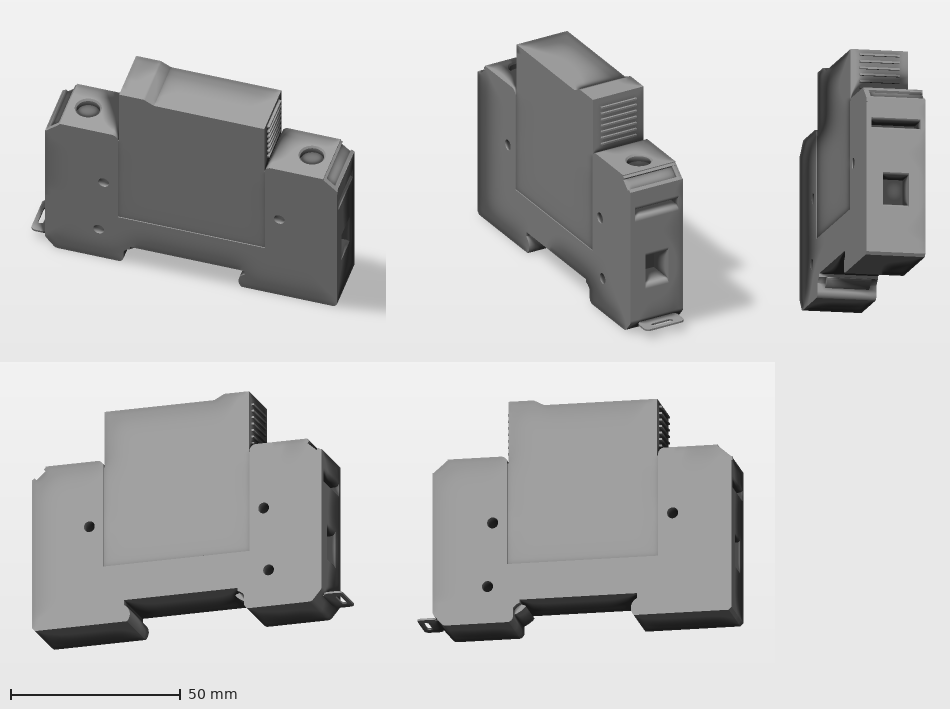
import cadquery as cq
import math


overall_length = 95.3
plan_length = 90.05
far_wall_setback = 0.3
base_length = plan_length - far_wall_setback
base_width = 17.8
shoulder_height = 50.9
front_y = -base_width / 2
bevel_run = 4.5
bevel_rise = 3.8
bevel_foot_z = shoulder_height - bevel_rise
bevel_ledge = 0.4
bevel_crest_step = 0.3
shoulder_radius = 1.9
foot_chamfer_run = 3.1
foot_chamfer_rise = 3.7
far_foot_chamfer = 0.9
foot_edge_radius = 1.7

channel_start = 26.1
channel_end = 61.4
channel_depth = 6.7

module_inset = 0.3
slot_start = 22.4
slot_end = plan_length - slot_start
slot_floor_z = 17.8
seat_top_z = 48.7
module_start = slot_start + module_inset
module_end = slot_end - module_inset
module_width = base_width - 2 * module_inset
module_height = 67.7
module_low_top = 66.0
ramp_start = 30.3
ramp_end = 33.4
ramp_edge_radius = 1.1

rib_count = 7
rib_pitch = 2.0
rib_thickness = 0.6
rib_width = 12.0
lowest_rib_z = 52.4
near_rib_reach = 0.7
far_rib_reach = 0.9

recess_margin = 0.9
recess_length = 3.7
panel_skin = 0.3
panel_depth = 0.1
groove_web = 1.5
groove_depth = 0.9

lip_height = 1.2
lip_thickness = 0.4
lip_root = 1.0

well_x = 10.6
well_radius = 3.5
well_mouth_radius = 4.0
well_mouth_depth = 0.6
well_depth = 2.2

opening_radius = 1.4
opening_depth = 8.6
vent_width = 14.8
vent_bottom, vent_top = 37.1, 42.0
wire_width = 7.8
wire_bottom, wire_top = 13.9, 25.7

cross_hole_diameter = 3.3
upper_hole_inset = 18.0
upper_hole_z = 30.7
lower_hole_x = 16.5
lower_hole_z = 11.2

latch_width = 13.2
tab_reach = overall_length - plan_length
tab_root = 1.4
tab_shoulder_x = 0.5
tab_bottom = 2.7
tab_thickness = 0.6
tab_corner_radius = 1.5
tab_slot_length = 7.05
tab_slot_width = 1.6
tab_slot_x = -3.1


def profile_solid(outline, width):
    """Extrude a closed XZ outline symmetrically about Y = 0."""
    return outline.close().extrude(width / 2, both=True)


def start_profile(x, z):
    return cq.Workplane("XZ").moveTo(x, z)


def block(x_start, x_end, y_start, y_end, z_start, z_end):
    size = (x_end - x_start, y_end - y_start, z_end - z_start)
    return cq.Workplane("XY").box(*size, centered=False).translate((x_start, y_start, z_start))


def mirrored_end(solid):
    """Repeat a near-end feature at the far end of the plan."""
    return solid.mirror("YZ").translate((plan_length, 0, 0))


def make_base():
    outline = (
        start_profile(foot_chamfer_run, 0)
        .lineTo(22.8, 0)
        .threePointArc((23.8, 0.8), (24.1, 1.9))
        .lineTo(24.1, 4.2)
        .threePointArc((25.0, 5.1), (channel_start, 5.7))
        .lineTo(channel_start, channel_depth)
        .lineTo(channel_end, channel_depth)
        .lineTo(channel_end, 5.1)
        .threePointArc((59.6, 2.9), (60.4, 0))
        .lineTo(base_length - far_foot_chamfer, 0)
        .lineTo(base_length, far_foot_chamfer)
        .lineTo(base_length, bevel_foot_z)
        .lineTo(plan_length - bevel_ledge, bevel_foot_z)
        .lineTo(plan_length - bevel_run, shoulder_height - bevel_crest_step)
        .lineTo(plan_length - bevel_run, shoulder_height)
        .lineTo(slot_end, shoulder_height)
        .lineTo(slot_end, seat_top_z)
        .lineTo(slot_start, seat_top_z)
        .lineTo(slot_start, shoulder_height)
        .lineTo(bevel_run, shoulder_height)
        .lineTo(bevel_run, shoulder_height - bevel_crest_step)
        .lineTo(bevel_ledge, bevel_foot_z)
        .lineTo(0, bevel_foot_z)
        .lineTo(0, foot_chamfer_rise)
    )
    base = profile_solid(outline, base_width)

    def edges_along_y(x, z):
        reach = 0.1
        return cq.selectors.BoxSelector(
            (x - reach, -base_width, z - reach), (x + reach, base_width, z + reach)
        )

    for x in (slot_start, slot_end):
        base = base.edges(edges_along_y(x, shoulder_height)).fillet(shoulder_radius)
    for x, z in ((0, foot_chamfer_rise), (foot_chamfer_run, 0)):
        base = base.edges(edges_along_y(x, z)).fillet(foot_edge_radius)

    for side_y in (front_y, -front_y - module_inset):
        base = base.cut(
            block(slot_start, slot_end, side_y, side_y + module_inset, slot_floor_z, seat_top_z)
        )
    return base


def make_module():
    outline = (
        start_profile(module_start, slot_floor_z)
        .lineTo(module_end, slot_floor_z)
        .lineTo(module_end, module_low_top)
        .lineTo(ramp_end, module_low_top)
        .lineTo(ramp_start, module_height)
        .lineTo(module_start, module_height)
    )
    module = profile_solid(outline, module_width)
    crest = cq.selectors.NearestToPointSelector((ramp_start, 0, module_height))
    return module.edges("|Y").edges(crest).fillet(ramp_edge_radius)


def make_ribs():
    ribs = cq.Workplane("XY")
    for index in range(rib_count):
        bottom = lowest_rib_z + index * rib_pitch - rib_thickness / 2
        ribs = ribs.add(
            block(
                module_start - near_rib_reach,
                module_end + far_rib_reach,
                -rib_width / 2,
                rib_width / 2,
                bottom,
                bottom + rib_thickness,
            )
        )
    return ribs.combine()


def make_bevel_recess(front_wall, depth):
    """Sunken area square to the near bevel, stopping short of the front face."""
    bevel_angle = math.degrees(
        math.atan2(bevel_rise - bevel_crest_step, bevel_run - bevel_ledge)
    )
    groove = block(
        recess_margin,
        recess_margin + recess_length,
        front_y + front_wall,
        base_width,
        -depth,
        depth,
    )
    return groove.rotate((0, 0, 0), (0, 1, 0), -bevel_angle).translate((bevel_ledge, 0, bevel_foot_z))


def make_lip():
    outline = (
        start_profile(base_length - lip_root, bevel_foot_z)
        .lineTo(plan_length, bevel_foot_z)
        .lineTo(plan_length, bevel_foot_z - lip_height)
        .lineTo(base_length - lip_root, bevel_foot_z - lip_height)
    )
    lip = outline.close().extrude(lip_thickness)
    return lip.translate((0, front_y + lip_thickness, 0))


def make_well():
    """Screw well with a tapered mouth, revolved about its vertical axis."""
    floor_z = shoulder_height - well_depth
    return (
        start_profile(0, floor_z)
        .lineTo(well_radius, floor_z)
        .lineTo(well_radius, shoulder_height - well_mouth_depth)
        .lineTo(well_mouth_radius, shoulder_height)
        .lineTo(0, shoulder_height)
        .close()
        .revolve(360, (0, 0), (0, 1))
        .translate((well_x, 0, 0))
    )


def make_opening(bottom, top, width):
    """End-wall pocket whose top and bottom edges are rounded over."""
    radius = opening_radius
    on_arc = radius * (1 - math.sqrt(0.5))
    outline = (
        start_profile(0, bottom)
        .threePointArc((on_arc, bottom + radius - on_arc), (radius, bottom + radius))
        .lineTo(opening_depth, bottom + radius)
        .lineTo(opening_depth, top - radius)
        .lineTo(radius, top - radius)
        .threePointArc((on_arc, top - radius + on_arc), (0, top))
    )
    return profile_solid(outline, width)


def make_cross_holes():
    centres = [
        (upper_hole_inset, upper_hole_z),
        (plan_length - upper_hole_inset, upper_hole_z),
        (lower_hole_x, lower_hole_z),
    ]
    return (
        cq.Workplane("XZ")
        .pushPoints(centres)
        .circle(cross_hole_diameter / 2)
        .extrude(base_width, both=True)
    )


def make_latch():
    half_width = latch_width / 2
    tab = block(
        -tab_reach, tab_shoulder_x, -half_width, half_width, tab_bottom, tab_bottom + tab_thickness
    )
    tab = tab.edges("|Z").fillet(tab_corner_radius)
    neck_half_width = half_width - tab_corner_radius
    neck = block(
        0, tab_root, -neck_half_width, neck_half_width, tab_bottom, tab_bottom + tab_thickness
    )
    slot = (
        cq.Workplane("XY")
        .center(tab_slot_x, 0)
        .slot2D(tab_slot_length, tab_slot_width, 90)
        .extrude(2 * channel_depth)
    )
    hook = (
        start_profile(23.3, 2.9)
        .lineTo(24.1, 2.9)
        .threePointArc((25.7, 3.6), (27.2, 4.8))
        .lineTo(27.5, 5.2)
        .lineTo(27.3, 5.5)
        .lineTo(25.9, 5.9)
        .lineTo(23.3, 4.1)
    )
    return tab.union(neck).cut(slot).union(profile_solid(hook, latch_width))


result = make_base().union(make_module()).union(make_ribs())

near_end_cuts = [
    make_bevel_recess(panel_skin, panel_depth),
    make_bevel_recess(groove_web, groove_depth),
    make_well(),
    make_opening(vent_bottom, vent_top, vent_width),
    make_opening(wire_bottom, wire_top, wire_width),
]
for cutter in near_end_cuts:
    result = result.cut(cutter).cut(mirrored_end(cutter))

result = result.cut(make_cross_holes()).union(make_lip())
for latch_part in make_latch().solids().vals():
    result = result.union(cq.Workplane(latch_part))